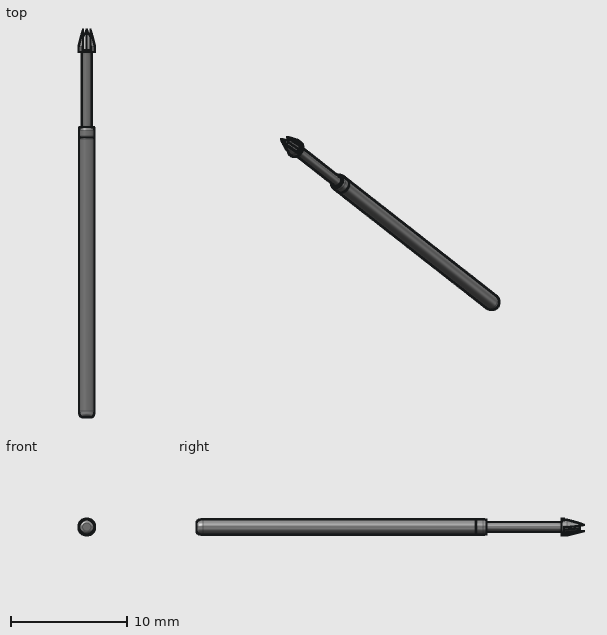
import math

import cadquery as cq

TOTAL_LENGTH = 33.4
BARREL_LENGTH = 25.0

BARREL_RADIUS = 0.685
MOUTH_LENGTH = 0.3
MOUTH_RADIUS = 0.64
END_ROUND_LENGTH = 0.56
END_FACE_RADIUS = 0.36
GROOVE_OFFSET = 0.9
GROOVE_WIDTH = 0.24
GROOVE_DEPTH = 0.03

SHAFT_RADIUS = 0.44
HEAD_RADIUS = 0.72
HEAD_LENGTH = 1.93
HEAD_RIM_LENGTH = 0.47
TIP_RADIUS = 0.36

PRONG_COUNT = 3
SLOT_ANGLE = 10
SLOT_ROOT_WIDTH = 0.58
SLOT_DEPTH = 1.73

CORE_ROOF_SLOPE = 12
CORE_SETBACK = 0.35
CORE_TIP_RADIUS = 0.2
CORE_BASE_RADIUS = 0.46


def make_barrel():
    """Barrel turned about Y, with an elliptically rounded end and a slightly tapered mouth."""
    round_drop = BARREL_RADIUS - END_FACE_RADIUS
    profile = (
        cq.Workplane("XY")
        .lineTo(END_FACE_RADIUS, 0)
        .ellipseArc(round_drop, END_ROUND_LENGTH, 270, 360)
        .lineTo(BARREL_RADIUS, BARREL_LENGTH - MOUTH_LENGTH)
        .lineTo(MOUTH_RADIUS, BARREL_LENGTH)
        .lineTo(0, BARREL_LENGTH)
        .close()
    )
    return profile.revolve(360, (0, 0, 0), (0, 1, 0))


def make_groove():
    """Shallow V-shaped ring cut around the barrel behind its mouth."""
    middle = BARREL_LENGTH - GROOVE_OFFSET
    profile = (
        cq.Workplane("XY")
        .moveTo(BARREL_RADIUS, middle - GROOVE_WIDTH / 2)
        .lineTo(BARREL_RADIUS - GROOVE_DEPTH, middle)
        .lineTo(BARREL_RADIUS, middle + GROOVE_WIDTH / 2)
        .close()
    )
    return profile.revolve(360, (0, 0, 0), (0, 1, 0))


def make_plunger():
    """Shaft, rooted inside the barrel, with a conical head, turned about Y."""
    shaft_start = BARREL_LENGTH / 2
    head_base = TOTAL_LENGTH - HEAD_LENGTH
    profile = (
        cq.Workplane("XY")
        .moveTo(0, shaft_start)
        .lineTo(SHAFT_RADIUS, shaft_start)
        .lineTo(SHAFT_RADIUS, head_base)
        .lineTo(HEAD_RADIUS, head_base)
        .lineTo(HEAD_RADIUS, head_base + HEAD_RIM_LENGTH)
        .lineTo(TIP_RADIUS, TOTAL_LENGTH)
        .lineTo(0, TOTAL_LENGTH)
        .close()
    )
    return profile.revolve(360, (0, 0, 0), (0, 1, 0))


def core_outline(ridge_radius):
    """Six points alternating between slot ridges and the corners buried in the prongs."""
    roof_slope = math.radians(CORE_ROOF_SLOPE)
    half_pitch = math.pi / PRONG_COUNT
    corner_radius = ridge_radius / (math.cos(half_pitch) + math.sin(half_pitch) * math.tan(roof_slope))
    points = []
    for index in range(2 * PRONG_COUNT):
        radius = ridge_radius if index % 2 == 0 else corner_radius
        angle = index * half_pitch
        points.append((radius * math.sin(angle), radius * math.cos(angle)))
    return points


def make_core():
    """Tapered core between the prongs, showing a shallow ridge in every slot."""
    core_base = cq.Workplane("XZ", origin=(0, TOTAL_LENGTH - SLOT_DEPTH, 0))
    return (
        core_base.polyline(core_outline(CORE_BASE_RADIUS))
        .close()
        .workplane(offset=CORE_SETBACK - SLOT_DEPTH)
        .polyline(core_outline(CORE_TIP_RADIUS))
        .close()
        .loft(ruled=True)
    )


def make_slot(angle):
    """Wedge-shaped slot opening outwards from the axis, turned about Y from the +Z direction."""
    reach = 2 * HEAD_RADIUS
    spread = reach * math.tan(math.radians(SLOT_ANGLE / 2))
    outline = [
        (SLOT_ROOT_WIDTH / 2, 0),
        (SLOT_ROOT_WIDTH / 2 + spread, reach),
        (-SLOT_ROOT_WIDTH / 2 - spread, reach),
        (-SLOT_ROOT_WIDTH / 2, 0),
    ]
    tip_plane = cq.Workplane("XZ", origin=(0, TOTAL_LENGTH, 0))
    slot = tip_plane.polyline(outline).close().extrude(SLOT_DEPTH)
    return slot.rotate((0, 0, 0), (0, 1, 0), angle)


result = make_barrel().cut(make_groove()).union(make_plunger())
for index in range(PRONG_COUNT):
    result = result.cut(make_slot(index * 360 / PRONG_COUNT))
result = result.union(make_core())